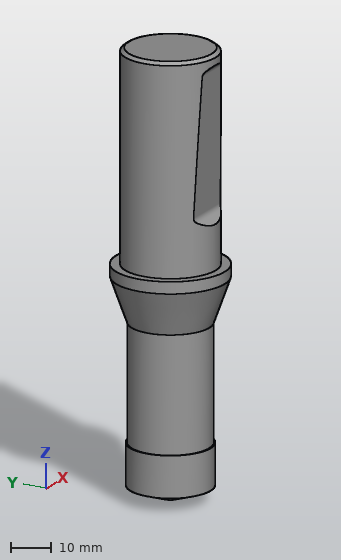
import cadquery as cq
import math

total_height = 117.1
tip_diameter = 22.1
tip_length = 11.0
point_angle = 140.0
tip_radius = tip_diameter / 2
point_height = tip_radius / math.tan(math.radians(point_angle / 2))
tip_top = point_height + tip_length

neck_radius = 21.4 / 2
collar_radius = 30.0 / 2
shank_radius = 25.0 / 2
shank_length = 55.9
collar_rim_height = 3.2
flare_height = 12.0
collar_top = total_height - shank_length
collar_rim_bottom = collar_top - collar_rim_height
flare_bottom = collar_rim_bottom - flare_height
top_chamfer_height = 0.8
top_chamfer_width = 1.0

flat_top = 112.4
flat_bottom = 76.3
flat_angle = 2.0
flat_top_depth = 1.0
ramp_fillet = 2.0
ramp_angle = 45.0
cutter_clearance = 2.3


def make_tip():
    """Drill tip: a short cylinder with a conical point at the bottom."""
    profile = [
        (0, 0),
        (tip_radius, point_height),
        (tip_radius, tip_top),
        (0, tip_top),
    ]
    return cq.Workplane("XZ").polyline(profile).close().revolve(360, (0, 0), (0, 1))


def make_holder_blank():
    """Turned holder, from the face resting on the tip up to the chamfered end."""
    profile = [
        (0, tip_top),
        (neck_radius, tip_top),
        (neck_radius, flare_bottom),
        (collar_radius, collar_rim_bottom),
        (collar_radius, collar_top),
        (shank_radius, collar_top),
        (shank_radius, total_height - top_chamfer_height),
        (shank_radius - top_chamfer_width, total_height),
        (0, total_height),
    ]
    return cq.Workplane("XZ").polyline(profile).close().revolve(360, (0, 0), (0, 1))


def make_flat_cutter():
    """Recess that deepens downward, with a rounded run-out ramp at each end."""
    slope = math.tan(math.radians(flat_angle))
    ramp_slope = math.tan(math.radians(ramp_angle))
    top_setback = ramp_fillet * math.tan(math.radians(ramp_angle + flat_angle) / 2)
    bottom_setback = ramp_fillet * math.tan(math.radians(ramp_angle - flat_angle) / 2)
    top_corner_z = flat_top + top_setback
    bottom_corner_z = flat_bottom - bottom_setback
    top_corner_y = -shank_radius + flat_top_depth - top_setback * slope
    bottom_corner_y = top_corner_y + (top_corner_z - bottom_corner_z) * slope
    outer_y = -shank_radius - cutter_clearance
    profile = [
        (outer_y, top_corner_z + (top_corner_y - outer_y) / ramp_slope),
        (top_corner_y, top_corner_z),
        (bottom_corner_y, bottom_corner_z),
        (outer_y, bottom_corner_z - (bottom_corner_y - outer_y) / ramp_slope),
    ]
    cutter = cq.Workplane("YZ").polyline(profile).close().extrude(shank_radius, both=True)
    inside_shank = cq.selectors.BoxSelector(
        (-shank_radius, -shank_radius, 0), (shank_radius, 0, total_height)
    )
    return cutter.edges("|X").edges(inside_shank).fillet(ramp_fillet)


tip = make_tip()
holder = make_holder_blank().cut(make_flat_cutter())

result = cq.Compound.makeCompound([holder.val(), tip.val()])